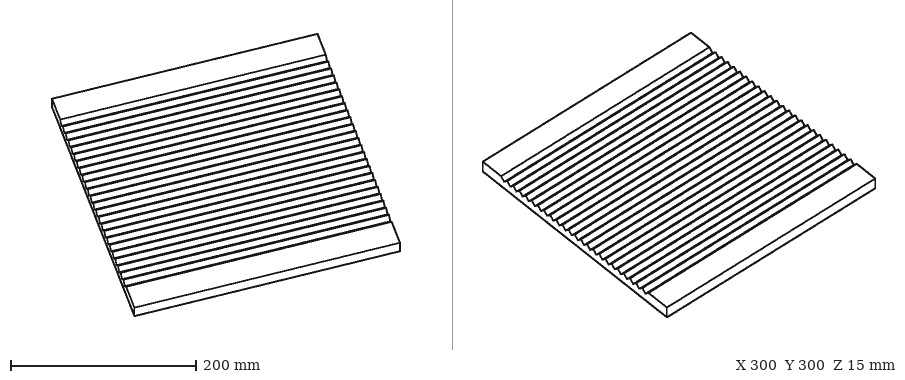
import cadquery as cq

PLATE_LENGTH_X = 300.0
PLATE_WIDTH_Y = 300.0
PLATE_HEIGHT = 15.0

FLAT_MARGIN = 30.0
GROOVE_COUNT = 24
GROOVE_DEPTH = 5.0
GROOVE_PITCH = (PLATE_LENGTH_X - 2 * FLAT_MARGIN) / GROOVE_COUNT


def grooved_profile():
    """Closed XZ cross-section of the plate, with the V-grooves in its top edge."""
    half_length = PLATE_LENGTH_X / 2
    first_ridge_x = -half_length + FLAT_MARGIN

    profile = (
        cq.Workplane("XZ")
        .moveTo(half_length, 0)
        .lineTo(-half_length, 0)
        .lineTo(-half_length, PLATE_HEIGHT)
        .lineTo(first_ridge_x, PLATE_HEIGHT)
    )
    for index in range(GROOVE_COUNT):
        groove_start_x = first_ridge_x + index * GROOVE_PITCH
        valley_x = groove_start_x + GROOVE_PITCH / 2
        groove_end_x = groove_start_x + GROOVE_PITCH
        profile = profile.lineTo(valley_x, PLATE_HEIGHT - GROOVE_DEPTH)
        profile = profile.lineTo(groove_end_x, PLATE_HEIGHT)
    return profile.lineTo(half_length, PLATE_HEIGHT).close()


result = grooved_profile().extrude(PLATE_WIDTH_Y / 2, both=True)